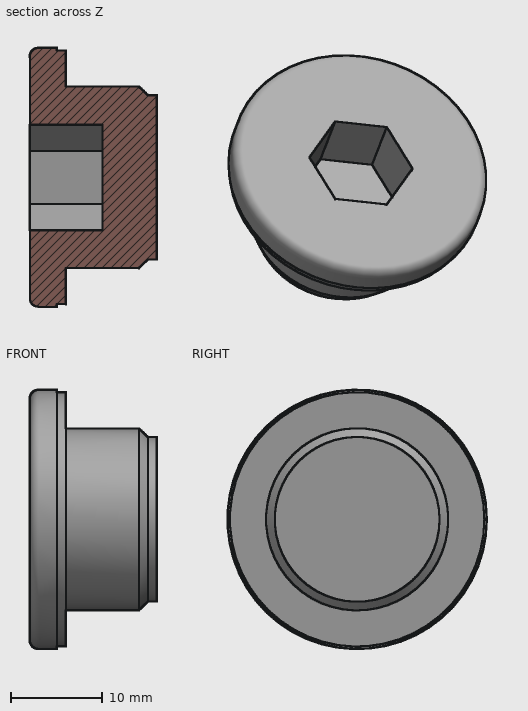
import cadquery as cq
import math


head_diameter = 28.5
collar_diameter = 27.93
shank_diameter = 20.0
tip_diameter = 18.1

rim_length = 3.0
collar_length = 1.0
shank_length = 8.0
taper_length = 1.0
tip_length = 1.0

head_edge_radius = 1.0

socket_across_flats = 10.0
socket_depth = 8.0


def cylinder(start, length, diameter):
    """Solid cylinder along X, beginning at X = start."""
    return cq.Workplane("YZ").workplane(offset=start).circle(diameter / 2).extrude(length)


def taper(start, length, start_diameter, end_diameter):
    """Solid cone frustum along X, beginning at X = start."""
    return (
        cq.Workplane("YZ")
        .workplane(offset=start)
        .circle(start_diameter / 2)
        .workplane(offset=length)
        .circle(end_diameter / 2)
        .loft(ruled=True)
    )


collar_start = rim_length
shank_start = collar_start + collar_length
taper_start = shank_start + shank_length
tip_start = taper_start + taper_length

head = cylinder(0, rim_length, head_diameter).faces("<X").edges().fillet(head_edge_radius)
collar = cylinder(collar_start, collar_length, collar_diameter)
shank = cylinder(shank_start, shank_length, shank_diameter)
shoulder = taper(taper_start, taper_length, shank_diameter, tip_diameter)
tip = cylinder(tip_start, tip_length, tip_diameter)

socket_across_corners = socket_across_flats / math.cos(math.radians(30))
socket = cq.Workplane("YZ").polygon(6, socket_across_corners).extrude(socket_depth)

result = head.union(collar).union(shank).union(shoulder).union(tip).cut(socket)